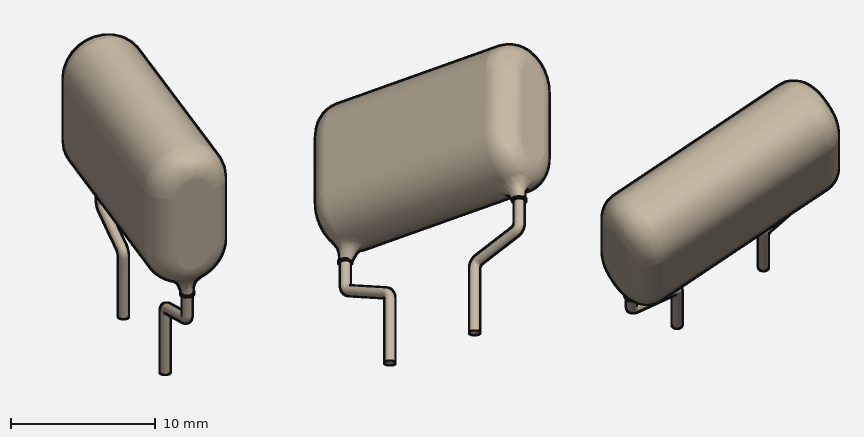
import cadquery as cq
import math

case_length = 17.8
case_thickness = 6.0
case_flat_height = 5.0
case_end_radius = 1.75
case_top = 21.0
case_height = case_flat_height + case_thickness
case_bottom = case_top - case_height
case_centre_z = case_top - case_height / 2

neck_diameter = 0.88
neck_end_z = 8.99
neck_fillet = 1.47
collar_diameter = 1.0
collar_height = 0.1
neck_trim_height = 2.52
joint_margin = 0.2

wire_diameter = 0.8
neck_x = 7.69
foot_x = 3.74
foot_length = 5.0
slope_angle = 20.0
bend_radius = 0.59


def make_case():
    """Rounded case with a filleted, rimmed neck above each lead."""
    case = (
        cq.Workplane("YZ", origin=(0, 0, case_centre_z))
        .slot2D(case_height, case_thickness, 90)
        .extrude(case_length / 2, both=True)
        .faces("<X or >X")
        .edges()
        .fillet(case_end_radius)
    )
    trim_z = neck_end_z - neck_trim_height
    necks = (
        cq.Workplane("XY", origin=(0, 0, trim_z))
        .pushPoints([(-neck_x, 0), (neck_x, 0)])
        .circle(neck_diameter / 2)
        .extrude(case_bottom + case_thickness / 2 - trim_z)
    )
    case = case.union(necks)

    joint_zone = cq.selectors.BoxSelector(
        (-case_length, -neck_diameter, case_bottom - joint_margin),
        (case_length, neck_diameter, case_bottom + case_end_radius),
        boundingbox=True,
    )
    case = case.edges(joint_zone).fillet(neck_fillet)
    trim = cq.Workplane("XY", origin=(0, 0, trim_z)).box(
        case_length, case_thickness, neck_trim_height, centered=(True, True, False)
    )
    collars = (
        cq.Workplane("XY", origin=(0, 0, neck_end_z))
        .pushPoints([(-neck_x, 0), (neck_x, 0)])
        .circle(collar_diameter / 2)
        .extrude(collar_height)
    )
    return case.cut(trim).union(collars)


def make_lead(side):
    """Wire lead on one side (-1 for -X, +1 for +X), bent inward in the XZ plane."""
    slope = math.radians(slope_angle)
    bend_angle = math.pi / 2 - slope
    bend_dx = bend_radius * (1 - math.cos(bend_angle))
    bend_dz = bend_radius * math.sin(bend_angle)
    slope_dx = neck_x - foot_x - 2 * bend_dx
    slope_dz = slope_dx * math.tan(slope)

    half_dx = bend_radius * (1 - math.cos(bend_angle / 2))
    half_dz = bend_radius * math.sin(bend_angle / 2)

    lower_slope_z = foot_length + bend_dz
    upper_slope_z = lower_slope_z + slope_dz
    upper_bend_z = upper_slope_z + bend_dz
    path = (
        cq.Workplane("XZ")
        .moveTo(side * foot_x, 0)
        .lineTo(side * foot_x, foot_length)
        .threePointArc(
            (side * (foot_x + half_dx), foot_length + half_dz),
            (side * (foot_x + bend_dx), lower_slope_z),
        )
        .lineTo(side * (neck_x - bend_dx), upper_slope_z)
        .threePointArc(
            (side * (neck_x - half_dx), upper_bend_z - half_dz),
            (side * neck_x, upper_bend_z),
        )
        .lineTo(side * neck_x, neck_end_z)
    )
    return cq.Workplane("XY", origin=(side * foot_x, 0, 0)).circle(wire_diameter / 2).sweep(path)


case = make_case()
leads = [make_lead(side) for side in (-1, 1)]

result = cq.Compound.makeCompound([case.val(), *[lead.val() for lead in leads]])